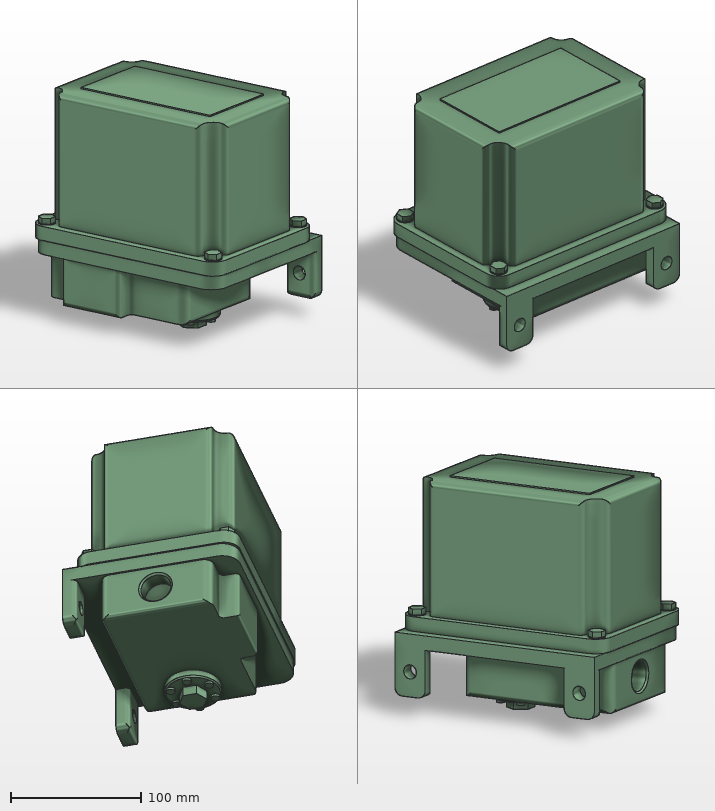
import cadquery as cq
import math


COVER_LENGTH = 178.5
COVER_DEPTH = 129.1
FLANGE_THICKNESS = 11.4
COVER_CORNER_RADIUS = 13.0
BOLT_SPACING_X = 158.5
BOLT_SPACING_Y = 109.2
BOLT_ACROSS_FLATS = 11.5
BOLT_HEAD_HEIGHT = 5.1
BOLT_WASHER_DIAMETER = 13.2
BOLT_WASHER_THICKNESS = 0.5

HOUSING_LENGTH = 164.8
HOUSING_DEPTH = 114.5
HOUSING_TOP = 117.1
HOUSING_FILLET = 5.0
NOTCH_RADIUS = 9.2
NAMEPLATE_LENGTH = 122.8
NAMEPLATE_DEPTH = 69.1
NAMEPLATE_THICKNESS = 1.1

BASE_LENGTH = 175.8
BASE_FRONT = -63.8
BASE_BACK = 74.0
BASE_CORNER_RADIUS = 14.3
LUG_WIDTH = 26.7
LUG_THICKNESS = 11.2
LUG_BOTTOM = -49.7
LUG_FILLET = 4.5
LUG_CORNER_RADIUS = 6.6
LUG_HOLE_DIAMETER = 11.0
HOLE_AXIS_Z = -29.8

BODY_LEFT = -86.5
BODY_RIGHT = 44.9
BODY_DEPTH = 89.0
BODY_BOTTOM = -51.3
BODY_CORNER_RADIUS = 7.9
BOTTOM_FILLET = 3.7
BLOCK_LEFT = -61.8
BLOCK_RIGHT = -7.0
BLOCK_FRONT = -59.5
BLOCK_FILLET = 4.0

PORT_DIAMETER = 23.9
PORT_MOUTH_DIAMETER = 26.8
PORT_DEPTH = 13.6

COLLAR_X = 19.0
COLLAR_RADIUS = 21.7
COLLAR_HEIGHT = 6.5
COLLAR_CHAMFER_HEIGHT = 1.5
COLLAR_CHAMFER_WIDTH = 0.7
SCREW_COUNT = 6
SCREW_CIRCLE_RADIUS = 17.7
SCREW_DIAMETER = 6.8
SCREW_HEIGHT = 2.0
PLUG_ACROSS_FLATS = 19.0
PLUG_HEIGHT = 7.9


def limits_box(x_range, y_range, z_range):
    """Box between the given limits."""
    sizes = [high - low for low, high in (x_range, y_range, z_range)]
    corner = (x_range[0], y_range[0], z_range[0])
    return cq.Workplane("XY").box(*sizes, centered=False).translate(corner)


def hexagon(across_flats, z_bottom, height):
    """Upright hexagonal prism on the Z axis with two of its corners on the Y axis."""
    across_corners = across_flats / math.cos(math.radians(30))
    prism = cq.Workplane("XY").workplane(offset=z_bottom).polygon(6, across_corners).extrude(height)
    return prism.rotate((0, 0, 0), (0, 0, 1), 90)


def at_corners(shape, spacing_x, spacing_y):
    """Copies of a shape at the corners of a rectangle centred on the Z axis."""
    copies = cq.Workplane("XY")
    for x in (-spacing_x / 2, spacing_x / 2):
        for y in (-spacing_y / 2, spacing_y / 2):
            copies = copies.union(shape.translate((x, y, 0)))
    return copies


def make_bolt_head():
    """Hexagonal head with a thin round washer face under it."""
    washer = cq.Workplane("XY").workplane(offset=FLANGE_THICKNESS)
    washer = washer.circle(BOLT_WASHER_DIAMETER / 2).extrude(BOLT_WASHER_THICKNESS)
    return washer.union(hexagon(BOLT_ACROSS_FLATS, FLANGE_THICKNESS, BOLT_HEAD_HEIGHT))


def make_cover():
    flange = cq.Workplane("XY").rect(COVER_LENGTH, COVER_DEPTH).extrude(FLANGE_THICKNESS)
    flange = flange.edges("|Z").fillet(COVER_CORNER_RADIUS)

    blank = cq.Workplane("XY").rect(HOUSING_LENGTH, HOUSING_DEPTH).extrude(HOUSING_TOP)
    notch = cq.Workplane("XY").circle(NOTCH_RADIUS).extrude(HOUSING_TOP)
    notches = at_corners(notch, HOUSING_LENGTH - 2 * HOUSING_FILLET, HOUSING_DEPTH - 2 * HOUSING_FILLET)
    outline = blank.cut(notches).edges("|Z").fillet(HOUSING_FILLET)
    housing = blank.faces(">Z").edges().fillet(HOUSING_FILLET).intersect(outline)

    nameplate = cq.Workplane("XY").workplane(offset=HOUSING_TOP)
    nameplate = nameplate.rect(NAMEPLATE_LENGTH, NAMEPLATE_DEPTH).extrude(NAMEPLATE_THICKNESS)
    bolt_heads = at_corners(make_bolt_head(), BOLT_SPACING_X, BOLT_SPACING_Y)
    return flange.union(housing).union(nameplate).union(bolt_heads)


def make_lug(center_x):
    """Mounting lug hanging from the back edge of the base plate."""
    x_range = (center_x - LUG_WIDTH / 2, center_x + LUG_WIDTH / 2)
    blank = limits_box(x_range, (BASE_BACK - LUG_THICKNESS, BASE_BACK), (LUG_BOTTOM, 0))
    front_rounded = blank.edges("|Z and <Y").fillet(LUG_FILLET)
    bottom_rounded = blank.edges("|X and <Y and <Z").fillet(LUG_FILLET)
    corners_rounded = blank.edges("|Y and <Z").fillet(LUG_CORNER_RADIUS)
    lug = front_rounded.intersect(bottom_rounded).intersect(corners_rounded)
    hole = cq.Workplane("XZ").center(center_x, HOLE_AXIS_Z).circle(LUG_HOLE_DIAMETER / 2)
    return lug.cut(hole.extrude(-BASE_BACK))


def make_base_plate():
    half_length = BASE_LENGTH / 2
    plate = limits_box((-half_length, half_length), (BASE_FRONT, BASE_BACK), (-FLANGE_THICKNESS, 0))
    plate = plate.edges("|Z and <Y").fillet(BASE_CORNER_RADIUS)
    lug_center = half_length - LUG_WIDTH / 2
    return plate.union(make_lug(-lug_center)).union(make_lug(lug_center))


def make_body():
    half_depth = BODY_DEPTH / 2
    z_range = (BODY_BOTTOM, 0)
    main = limits_box((BODY_LEFT, BODY_RIGHT), (-half_depth, half_depth), z_range)
    main = main.edges("|Z").fillet(BODY_CORNER_RADIUS)
    front = limits_box((BLOCK_LEFT, BLOCK_RIGHT), (BLOCK_FRONT, 0), z_range)
    front = front.edges("|Z and <Y").fillet(BLOCK_FILLET)
    outline = main.union(front)
    for x in (BLOCK_LEFT, BLOCK_RIGHT):
        corner_point = (x, -half_depth, BODY_BOTTOM / 2)
        outline = outline.edges(cq.NearestToPointSelector(corner_point)).fillet(BLOCK_FILLET)

    rounded = limits_box((BODY_LEFT, BODY_RIGHT), (BLOCK_FRONT, half_depth), z_range)
    rounded = rounded.faces("<Z").edges().fillet(BOTTOM_FILLET)
    return outline.intersect(rounded)


def make_port():
    """Blind conduit port with a countersunk mouth."""
    mouth_depth = (PORT_MOUTH_DIAMETER - PORT_DIAMETER) / 2
    face = cq.Workplane("YZ").workplane(offset=BODY_LEFT).center(0, HOLE_AXIS_Z)
    bore = face.circle(PORT_DIAMETER / 2).extrude(PORT_DEPTH)
    mouth = face.circle(PORT_MOUTH_DIAMETER / 2).extrude(mouth_depth, taper=45)
    return bore.union(mouth)


def make_collar():
    bottom = BODY_BOTTOM - COLLAR_HEIGHT
    collar = cq.Workplane("XY").workplane(offset=bottom).circle(COLLAR_RADIUS).extrude(COLLAR_HEIGHT)
    collar = collar.faces("<Z").chamfer(COLLAR_CHAMFER_HEIGHT, COLLAR_CHAMFER_WIDTH)
    screws = cq.Workplane("XY").workplane(offset=bottom)
    screws = screws.polarArray(SCREW_CIRCLE_RADIUS, 0, 360, SCREW_COUNT)
    screws = screws.circle(SCREW_DIAMETER / 2).extrude(-SCREW_HEIGHT)
    plug = hexagon(PLUG_ACROSS_FLATS, bottom - PLUG_HEIGHT, PLUG_HEIGHT)
    return collar.union(screws).union(plug).translate((COLLAR_X, 0, 0))


base = make_base_plate().union(make_body()).cut(make_port())
result = make_cover().union(base).union(make_collar())